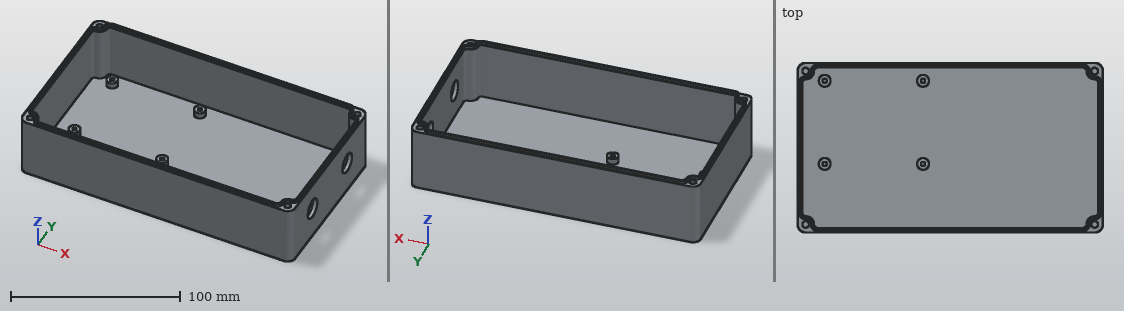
import cadquery as cq
import math

LENGTH = 180.0
WIDTH = 100.0
WALL_HEIGHT = 40.0
WALL = 2.9
FLOOR = 3.0
CORNER_RADIUS = 4.9

POST_RADIUS = CORNER_RADIUS
POST_BLEND_RADIUS = 2.0
SCREW_HOLE_DIAMETER = 4.0
SCREW_HOLE_DEPTH = WALL_HEIGHT - FLOOR
POST_X = LENGTH / 2 - CORNER_RADIUS
POST_Y = WIDTH / 2 - CORNER_RADIUS

RING_INSET = 0.9
RING_WIDTH = 0.9
RING_HEIGHT = 1.8

STANDOFF_DIAMETER = 7.0
STANDOFF_HOLE_DIAMETER = 2.5
STANDOFF_HEIGHT = 4.0
STANDOFF_SPACING_X = 58.0
STANDOFF_SPACING_Y = 49.0
STANDOFF_GRID_X = -45.0
STANDOFF_GRID_Y = 15.0

CABLE_HOLE_DIAMETER = 12.6
CABLE_HOLE_SPACING = 45.0
CABLE_HOLE_Z = 21.5


def cavity_outline(offset, z):
    """Closed outline of the cavity, grown outward by offset, on the plane at height z.

    Each corner runs around its post: a blend arc, the post arc and a second blend arc.
    """
    half_x = LENGTH / 2 - WALL + offset
    half_y = WIDTH / 2 - WALL + offset
    post_radius = POST_RADIUS - offset
    blend_radius = POST_BLEND_RADIUS + offset

    across = CORNER_RADIUS - WALL - POST_BLEND_RADIUS
    along = math.sqrt((POST_RADIUS + POST_BLEND_RADIUS) ** 2 - across ** 2)
    touch_angle = math.atan2(across, along)
    blend_mid_angle = (math.pi / 2 + math.pi + touch_angle) / 2
    touch_along = post_radius * math.cos(touch_angle)
    touch_across = post_radius * math.sin(touch_angle)
    blend_mid_along = along + blend_radius * math.cos(blend_mid_angle)
    blend_mid_across = across + blend_radius * math.sin(blend_mid_angle)
    post_mid = post_radius * math.sqrt(0.5)

    corner = [
        (half_x, POST_Y - along),
        (POST_X + blend_mid_across, POST_Y - blend_mid_along),
        (POST_X + touch_across, POST_Y - touch_along),
        (POST_X - post_mid, POST_Y - post_mid),
        (POST_X - touch_along, POST_Y + touch_across),
        (POST_X - blend_mid_along, POST_Y + blend_mid_across),
        (POST_X - along, half_y),
    ]
    outline = cq.Workplane("XY", origin=(0, 0, z)).moveTo(half_x, 0)
    for sign_x, sign_y in ((1, 1), (-1, 1), (-1, -1), (1, -1)):
        points = [(sign_x * x, sign_y * y) for x, y in corner]
        if sign_x * sign_y < 0:
            points.reverse()
        outline = outline.lineTo(*points[0])
        for middle, end in zip(points[1::2], points[2::2]):
            outline = outline.threePointArc(middle, end)
    return outline.close()


def make_shell():
    """Open box with a cavity that leaves a post in each corner."""
    block = (
        cq.Workplane("XY")
        .box(LENGTH, WIDTH, WALL_HEIGHT, centered=(True, True, False))
        .edges("|Z")
        .fillet(CORNER_RADIUS)
    )
    return block.cut(cavity_outline(0, FLOOR).extrude(WALL_HEIGHT - FLOOR))


def make_screw_holes():
    """Blind holes down the four corner posts."""
    return (
        cq.Workplane("XY", origin=(0, 0, WALL_HEIGHT))
        .rarray(2 * POST_X, 2 * POST_Y, 2, 2)
        .circle(SCREW_HOLE_DIAMETER / 2)
        .extrude(-SCREW_HOLE_DEPTH)
    )


def make_standoffs():
    """Four tubular standoffs on the floor."""
    return (
        cq.Workplane("XY", origin=(STANDOFF_GRID_X, STANDOFF_GRID_Y, FLOOR))
        .rarray(STANDOFF_SPACING_X, STANDOFF_SPACING_Y, 2, 2)
        .circle(STANDOFF_DIAMETER / 2)
        .circle(STANDOFF_HOLE_DIAMETER / 2)
        .extrude(STANDOFF_HEIGHT)
    )


def make_cable_holes():
    """Two round openings through the +X wall."""
    return (
        cq.Workplane("YZ", origin=(LENGTH / 2, 0, CABLE_HOLE_Z))
        .rarray(CABLE_HOLE_SPACING, 1.8, 2, 1)
        .circle(CABLE_HOLE_DIAMETER / 2)
        .extrude(-WALL)
    )


def make_housing():
    """Shell with its standoffs, screw holes and cable holes."""
    return make_shell().union(make_standoffs()).cut(make_screw_holes()).cut(make_cable_holes())


def make_sealing_ring():
    """Thin ring on the rim that passes inside the four screw holes."""
    outer = cavity_outline(RING_INSET + RING_WIDTH, WALL_HEIGHT).extrude(RING_HEIGHT)
    inner = cavity_outline(RING_INSET, WALL_HEIGHT).extrude(RING_HEIGHT)
    return outer.cut(inner)


housing = make_housing()
sealing_ring = make_sealing_ring()

result = cq.Compound.makeCompound([housing.val(), sealing_ring.val()])